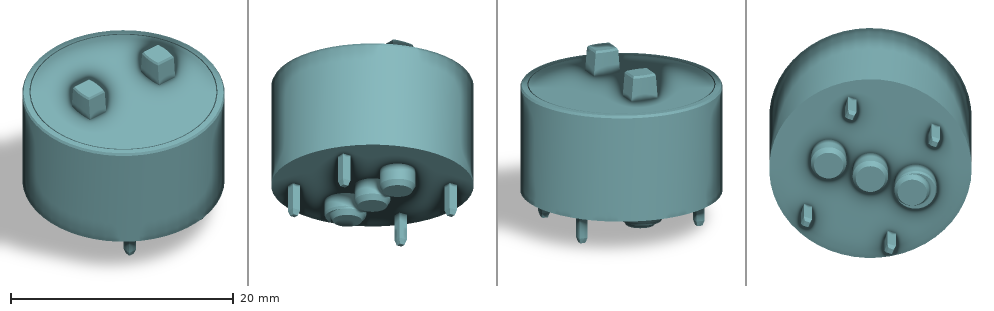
import cadquery as cq

body_diameter = 18.2
body_height = 10.0
rim_chamfer_width = 0.12
rim_chamfer_height = 0.22

groove_outer_diameter = 16.9
groove_width = 0.1
groove_depth = 0.2

prong_height = 2.35
prong_base_length = 2.6
prong_shoulder_length = 2.24
prong_end_width = 1.86
prong_bulge = 0.12
prong_edge_width = 0.1
prong_edge_height = 0.2

row_pitch = 4.0
foot_diameter = 3.2
foot_height = 2.0
foot_chamfer_width = 0.29
foot_chamfer_height = 0.5

pad_diameter = 3.8
pad_height = 1.5
pad_chamfer_width = 0.1
pad_chamfer_height = 0.25
pad_offset_gap = 0.01
pad_y = row_pitch + (pad_diameter - foot_diameter) / 2 + pad_offset_gap

pin_size = 0.8
pin_length = 2.95
pin_x = 5.8
pin_taper_width = 0.15
pin_taper_height = 0.5


def chamfered_post(diameter, height, chamfer_width, chamfer_height):
    """Round post hanging down from Z = 0 with a chamfered lower edge."""
    radius = diameter / 2
    half_section = (
        cq.Workplane("XZ")
        .moveTo(0, 0)
        .lineTo(radius, 0)
        .lineTo(radius, -height + chamfer_height)
        .lineTo(radius - chamfer_width, -height)
        .lineTo(0, -height)
        .close()
    )
    return half_section.revolve(360, (0, 0, 0), (0, 1, 0))


def make_body():
    post = chamfered_post(body_diameter, body_height, rim_chamfer_width, rim_chamfer_height)
    body = post.rotate((0, 0, 0), (1, 0, 0), 180)
    groove = (
        cq.Workplane("XY")
        .workplane(offset=body_height - groove_depth)
        .circle(groove_outer_diameter / 2)
        .circle(groove_outer_diameter / 2 - groove_width)
        .extrude(groove_depth)
    )
    return body.cut(groove)


def prong_outline(z, length, end_width):
    """Closed outline at height z: straight ends in X, bulged sides in Y."""
    half_length = length / 2
    half_width = end_width / 2
    crown = half_width + prong_bulge
    return (
        cq.Workplane("XY")
        .workplane(offset=z)
        .moveTo(-half_length, -half_width)
        .threePointArc((0, -crown), (half_length, -half_width))
        .lineTo(half_length, half_width)
        .threePointArc((0, crown), (-half_length, half_width))
        .close()
        .val()
    )


def make_prong():
    shoulder_z = prong_height - prong_edge_height
    base = prong_outline(0, prong_base_length, prong_end_width)
    shoulder = prong_outline(shoulder_z, prong_shoulder_length, prong_end_width)
    tip = prong_outline(
        prong_height,
        prong_shoulder_length - 2 * prong_edge_width,
        prong_end_width - 2 * prong_edge_width,
    )
    prong = cq.Solid.makeLoft([base, shoulder, tip], True)
    return cq.Workplane("XY").add(prong)


def make_pin():
    shank_length = pin_length - pin_taper_height
    tip_size = pin_size - 2 * pin_taper_width
    shank = cq.Workplane("XY").rect(pin_size, pin_size).extrude(-shank_length)
    taper = (
        cq.Workplane("XY")
        .workplane(offset=-shank_length)
        .rect(pin_size, pin_size)
        .workplane(offset=-pin_taper_height)
        .rect(tip_size, tip_size)
        .loft(ruled=True)
    )
    return shank.union(taper)


result = make_body()

prong = make_prong()
pin = make_pin()
for y in (-row_pitch, row_pitch):
    result = result.union(prong.translate((0, y, body_height)))
    for x in (-pin_x, pin_x):
        result = result.union(pin.translate((x, y, 0)))

foot = chamfered_post(foot_diameter, foot_height, foot_chamfer_width, foot_chamfer_height)
for y in (-row_pitch, 0, row_pitch):
    result = result.union(foot.translate((0, y, 0)))

pad = chamfered_post(pad_diameter, pad_height, pad_chamfer_width, pad_chamfer_height)
result = result.union(pad.translate((0, pad_y, 0)))